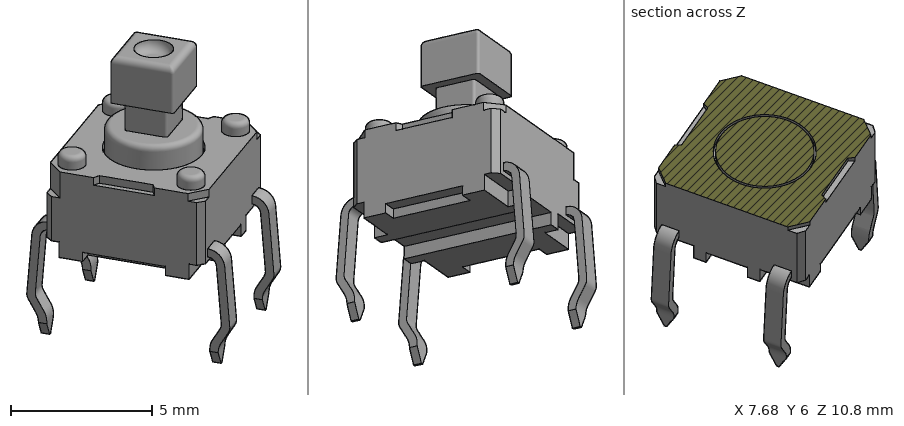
import cadquery as cq
import math

cover_top = 3.4
cover_thickness = 0.3
housing_top = cover_top - cover_thickness
collar_top = 4.3
button_top = 3.9
cap_bottom = 5.5
cap_top = 7.3
leg_tip_bottom = -3.5

housing_width = 6.0
half_width = housing_width / 2
housing_chamfer_x = 0.26
housing_chamfer_y = 0.22
corner_step_x = 0.54
corner_step_y = 1.69
corner_step_height = 0.61
channel_width = 1.63
channel_height = 0.48
side_relief_width = 3.13
side_relief_height = 0.36
side_relief_depth = corner_step_x

cover_corner_chamfer = 0.58
key_corner_bottom = 2.37
cover_notch_outer = 2.3
cover_notch_inner = 2.03
cover_notch_depth = 0.22
collar_hole_diameter = 3.63

button_diameter = 1.0
button_pitch = 4.5
button_rounding = 0.2

collar_diameter = 3.5
collar_rounding = 0.22
stem_width = 1.62
cap_width = 2.4
plunger_edge_rounding = 0.1
cap_rounding = 0.25
dimple_diameter = 1.4
dimple_floor_diameter = 0.64
dimple_rounding = (dimple_diameter - dimple_floor_diameter) / 2

leg_thickness = 0.32
leg_width = 0.69
leg_pitch = 4.45
leg_root_x = half_width - 0.3
leg_root_top = 1.11
leg_shoulder_x = 3.6
leg_elbow_x = 3.848
leg_elbow_z = -1.97
leg_foot_x = 3.4
leg_foot_z = -2.73
shoulder_radius = 0.65
elbow_radius = 0.4
foot_radius = 0.75
leg_tip_top = -2.94
leg_tip_width = 0.1


def box(width_x, width_y, bottom, top):
    """Box centred on the Z axis between two heights."""
    return (
        cq.Workplane("XY")
        .workplane(offset=bottom)
        .rect(width_x, width_y)
        .extrude(top - bottom)
    )


def cylinder(diameter, bottom, top):
    """Cylinder on the Z axis between two heights."""
    return cq.Workplane("XY").workplane(offset=bottom).circle(diameter / 2).extrude(top - bottom)


def four_corners(pitch_x, pitch_y):
    """Centres of a rectangular pattern of four."""
    return [(sx * pitch_x / 2, sy * pitch_y / 2) for sx in (-1, 1) for sy in (-1, 1)]


def corner_wedge(sign_x, sign_y, length_x, length_y, bottom, top):
    """Triangular prism that cuts a chamfer on one vertical corner of the housing."""
    corner_x = sign_x * half_width
    corner_y = sign_y * half_width
    return (
        cq.Workplane("XY")
        .workplane(offset=bottom)
        .moveTo(corner_x, corner_y)
        .lineTo(corner_x - sign_x * length_x, corner_y)
        .lineTo(corner_x, corner_y - sign_y * length_y)
        .close()
        .extrude(top - bottom)
    )


def make_housing():
    housing = box(housing_width, housing_width, 0, housing_top)
    for sign_x in (-1, 1):
        for sign_y in (-1, 1):
            wedge = corner_wedge(sign_x, sign_y, housing_chamfer_x, housing_chamfer_y, 0, housing_top)
            housing = housing.cut(wedge)

    for x, y in four_corners(housing_width - corner_step_x, housing_width - corner_step_y):
        step = box(corner_step_x, corner_step_y, 0, corner_step_height)
        housing = housing.cut(step.translate((x, y, 0)))

    housing = housing.cut(box(housing_width, channel_width, 0, channel_height))
    for side in (-1, 1):
        relief = box(side_relief_width, side_relief_depth, 0, side_relief_height)
        housing = housing.cut(relief.translate((0, side * (half_width - side_relief_depth / 2), 0)))

    key_corner = corner_wedge(
        -1, -1, cover_corner_chamfer, cover_corner_chamfer, key_corner_bottom, housing_top
    )
    return housing.cut(key_corner)


def make_cover():
    cover = box(housing_width, housing_width, housing_top, cover_top)
    cover = cover.edges("|Z").chamfer(cover_corner_chamfer)
    cover = cover.cut(cylinder(collar_hole_diameter, housing_top, cover_top))
    for side in (-1, 1):
        edge_y = side * half_width
        floor_y = side * (half_width - cover_notch_depth)
        notch = (
            cq.Workplane("XY")
            .workplane(offset=housing_top)
            .moveTo(-cover_notch_outer / 2, edge_y)
            .lineTo(-cover_notch_inner / 2, floor_y)
            .lineTo(cover_notch_inner / 2, floor_y)
            .lineTo(cover_notch_outer / 2, edge_y)
            .close()
            .extrude(cover_thickness)
        )
        cover = cover.cut(notch)
    return cover


def make_button():
    return cylinder(button_diameter, housing_top, button_top).faces(">Z").edges().fillet(button_rounding)


def make_plunger():
    collar = cylinder(collar_diameter, housing_top, collar_top)
    collar = collar.faces(">Z").edges().fillet(collar_rounding)

    stem = box(stem_width, stem_width, collar_top, cap_bottom)
    stem = stem.edges("|Z").fillet(plunger_edge_rounding)

    cap = box(cap_width, cap_width, cap_bottom, cap_top)
    cap = cap.faces(">Z").edges().fillet(cap_rounding)
    cap = cap.edges("|Z").fillet(plunger_edge_rounding)

    dimple = (
        cq.Workplane("XZ")
        .moveTo(0, cap_top)
        .lineTo(dimple_diameter / 2, cap_top)
        .radiusArc((dimple_floor_diameter / 2, cap_top - dimple_rounding), dimple_rounding)
        .lineTo(0, cap_top - dimple_rounding)
        .close()
        .revolve(360, (0, 0, 0), (0, 1, 0))
    )
    return collar.union(stem).union(cap).cut(dimple)


def inner_corner(before, corner, after):
    """Corner of the leg's inner side: the outer corner set in by the leg thickness."""
    heading_in = math.atan2(corner[1] - before[1], corner[0] - before[0])
    heading_out = math.atan2(after[1] - corner[1], after[0] - corner[0])
    half_turn = (heading_out - heading_in) / 2
    inward = (heading_in + heading_out) / 2 - math.pi / 2
    reach = leg_thickness / math.cos(half_turn)
    return (corner[0] + reach * math.cos(inward), corner[1] + reach * math.sin(inward))


def make_leg():
    """Bent leg leaving the +X side, centred on Y = 0."""
    root = (leg_root_x, leg_root_top)
    shoulder = (leg_shoulder_x, leg_root_top)
    elbow = (leg_elbow_x, leg_elbow_z)
    foot = (leg_foot_x, leg_foot_z)
    tip = (leg_foot_x, leg_tip_bottom)

    outer_corners = [shoulder, elbow, foot]
    inner_corners = [
        inner_corner(root, shoulder, elbow),
        inner_corner(shoulder, elbow, foot),
        inner_corner(elbow, foot, tip),
    ]
    root_bottom = (leg_root_x, leg_root_top - leg_thickness)
    tip_inner = (leg_foot_x - leg_thickness, leg_tip_bottom)
    outline = [root, *outer_corners, tip, tip_inner, *reversed(inner_corners), root_bottom]
    leg = cq.Workplane("XZ").polyline(outline).close().extrude(leg_width / 2, both=True)

    outer_radii = [shoulder_radius, elbow_radius, foot_radius]
    inner_radii = [shoulder_radius - leg_thickness, elbow_radius, foot_radius]
    corners = outer_corners + inner_corners
    for (x, z), radius in zip(corners, outer_radii + inner_radii):
        leg = leg.edges("|Y").edges(cq.NearestToPointSelector((x, 0, z))).fillet(radius)

    pointed_front = (
        cq.Workplane("YZ")
        .moveTo(-leg_width / 2, leg_root_top)
        .lineTo(-leg_width / 2, leg_tip_top)
        .lineTo(-leg_tip_width / 2, leg_tip_bottom)
        .lineTo(leg_tip_width / 2, leg_tip_bottom)
        .lineTo(leg_width / 2, leg_tip_top)
        .lineTo(leg_width / 2, leg_root_top)
        .close()
        .extrude(leg_elbow_x)
    )
    return leg.intersect(pointed_front)


result = make_housing().union(make_cover()).union(make_plunger())

button = make_button()
for x, y in four_corners(button_pitch, button_pitch):
    result = result.union(button.translate((x, y, 0)))

right_leg = make_leg()
left_leg = right_leg.mirror("YZ")
for leg in (left_leg, right_leg):
    for side in (-1, 1):
        result = result.union(leg.translate((0, side * leg_pitch / 2, 0)))